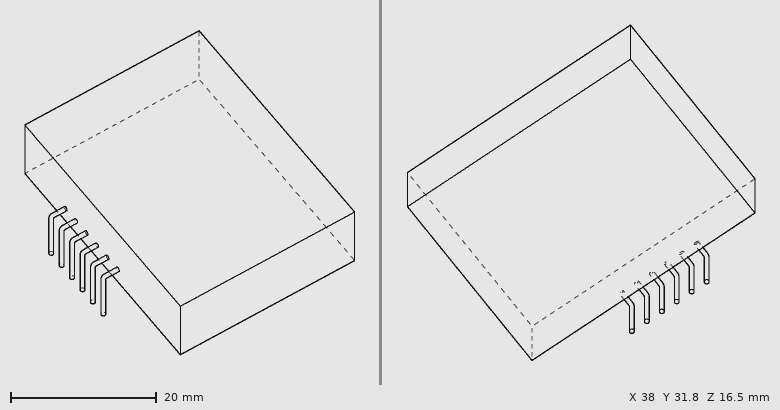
import cadquery as cq

housing_width = 38.0
housing_depth = 29.0
housing_height = 11.0

pin_count = 6
pin_pitch = 2.55
first_pin_x = 10.05
pin_diameter = 0.7
pin_bend_radius = 0.38
pin_exit_height = 2.9
pin_reach = 2.77
pin_drop = 5.45


def make_housing():
    """Plain rectangular block."""
    return cq.Workplane("XY").box(housing_width, housing_depth, housing_height, centered=False)


def make_pin(x):
    """Round pin that leaves the front face, bends once and points straight down."""
    leg_y = -(pin_reach - pin_diameter / 2)
    bend_start_y = leg_y + pin_bend_radius
    bend_end_z = pin_exit_height - pin_bend_radius
    centreline = (
        cq.Workplane("YZ", origin=(x, 0, 0))
        .moveTo(0, pin_exit_height)
        .lineTo(bend_start_y, pin_exit_height)
        .radiusArc((leg_y, bend_end_z), -pin_bend_radius)
        .lineTo(leg_y, -pin_drop)
    )
    return (
        cq.Workplane("XZ", origin=(x, 0, pin_exit_height))
        .circle(pin_diameter / 2)
        .sweep(centreline)
    )


housing = make_housing()
pins = [make_pin(first_pin_x + index * pin_pitch) for index in range(pin_count)]

result = cq.Compound.makeCompound([housing.val(), *[pin.val() for pin in pins]])